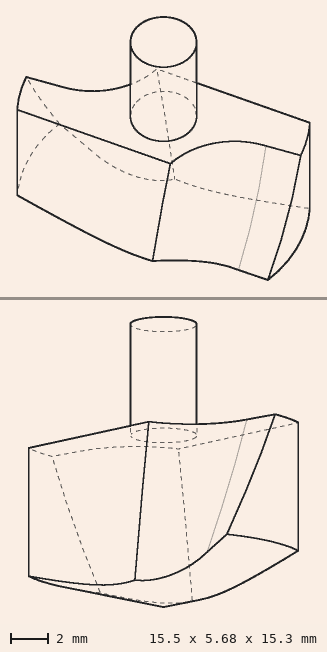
import cadquery as cq
import math

drill_diameter = 15.47
drill_radius = drill_diameter / 2
body_thickness = 5.68
body_top = 9.3
total_height = 15.3
shank_diameter = 3.5
tip_slope_angle = 17.0

flute_start = (1.72, -body_thickness / 2)
flute_middle = (3.22, -0.57)
flute_end = (5.75, 0.4)
cutting_edge = (drill_radius, 0.57)
flute_reach = 1.5 * drill_radius

flute_turn = 24.0
tip_height = drill_radius * math.tan(math.radians(tip_slope_angle))
full_twist = flute_turn * body_top / (body_top - tip_height)


def make_body():
    """Pointed cylinder with two parallel flats."""
    pointed_cylinder = (
        cq.Workplane("XZ")
        .moveTo(0, 0)
        .lineTo(drill_radius, tip_height)
        .lineTo(drill_radius, body_top)
        .lineTo(0, body_top)
        .close()
        .revolve(360, (0, 0, 0), (0, 1, 0))
    )
    slab = cq.Workplane("XY").box(
        drill_diameter, body_thickness, body_top, centered=(True, True, False)
    )
    return pointed_cylinder.intersect(slab)


def make_flute():
    """Twisted cutter for one flute, spanning the body height."""
    edge_slope = (cutting_edge[1] - flute_end[1]) / (cutting_edge[0] - flute_end[0])
    outer_y = cutting_edge[1] + edge_slope * (flute_reach - drill_radius)
    section = (
        cq.Workplane("XY")
        .moveTo(*flute_start)
        .threePointArc(flute_middle, flute_end)
        .lineTo(flute_reach, outer_y)
        .lineTo(flute_reach, -flute_reach)
        .lineTo(flute_start[0], -flute_reach)
        .close()
    )
    return section.twistExtrude(body_top, full_twist).rotate(
        (0, 0, 0), (0, 0, 1), -full_twist
    )


flute = make_flute()
opposite_flute = flute.rotate((0, 0, 0), (0, 0, 1), 180)
shank = (
    cq.Workplane("XY")
    .workplane(offset=body_top)
    .circle(shank_diameter / 2)
    .extrude(total_height - body_top)
)

result = make_body().cut(flute).cut(opposite_flute).union(shank)